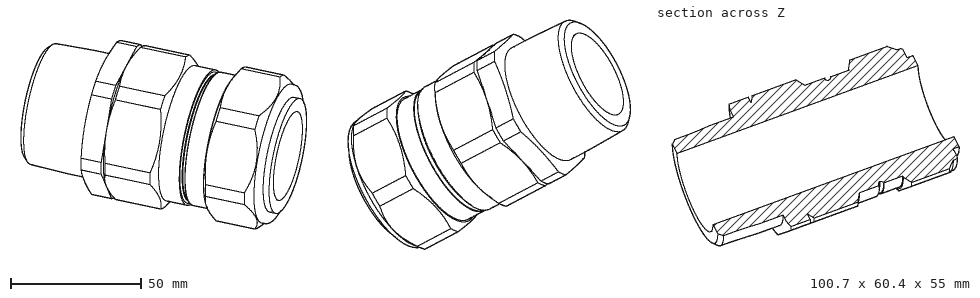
import cadquery as cq

LENGTH = 100.7
BORE_RADIUS = 17.4

ACROSS_FLATS = 55.0
FLAT_RADIUS = ACROSS_FLATS / 2
CORNER_RADIUS = 30.2

SPIGOT_TIP_RADIUS = 22.2
SPIGOT_TAPER_RADIUS = 23.8
SPIGOT_RADIUS = 24.3
SPIGOT_CHAMFER_LENGTH = 1.7
TAPER_END = 17.0

FLANGE_START = 26.4
FLANGE_CHAMFER_LENGTH = 0.7
BODY_START = 35.2
BODY_CHAMFER_LENGTH = 1.5
BODY_FULL_END = 55.1
BODY_END = 57.3

FRONT_COLLAR_RADIUS = 26.6
REAR_COLLAR_RADIUS = 26.2
GROOVE_RADIUS = 25.0
GROOVE_EDGE_RADIUS = 25.8
GROOVE_START = 65.7
GROOVE_BOTTOM_START = 66.3
GROOVE_BOTTOM_END = 66.6
GROOVE_END = 67.8

NUT_START = 75.5
NUT_START_RADIUS = 26.8
NUT_FULL_START = 77.5
NUT_FULL_END = 93.2
NUT_END = 98.3
NUT_RIM_RADIUS = 27.3
NUT_EDGE_FILLET = 1.0

TAIL_RADIUS = 22.6


def turned(points):
    """Solid of revolution about X below an (x, radius) outline."""
    start_x = points[0][0]
    end_x = points[-1][0]
    outline = [(start_x, 0), *points, (end_x, 0)]
    return cq.Workplane("XZ").polyline(outline).close().revolve(360, (0, 0, 0), (1, 0, 0))


def chamfered_hexagon(points):
    """Hexagonal bar, flats facing +Z and -Z, trimmed to a turned (x, radius) outline."""
    start_x = points[0][0]
    end_x = points[-1][0]
    bar = (
        cq.Workplane("YZ", origin=(start_x, 0, 0))
        .transformed(rotate=(0, 0, 90))
        .polygon(6, ACROSS_FLATS, circumscribed=True)
        .extrude(end_x - start_x)
    )
    return bar.intersect(turned(points))


def make_core():
    """Spigot, collars and tail ring as one turned piece running the full length."""
    return turned([
        (0, SPIGOT_TIP_RADIUS),
        (SPIGOT_CHAMFER_LENGTH, SPIGOT_TAPER_RADIUS),
        (TAPER_END, SPIGOT_RADIUS),
        (BODY_START, SPIGOT_RADIUS),
        (BODY_START, FRONT_COLLAR_RADIUS),
        (GROOVE_START, FRONT_COLLAR_RADIUS),
        (GROOVE_START, GROOVE_EDGE_RADIUS),
        (GROOVE_BOTTOM_START, GROOVE_RADIUS),
        (GROOVE_BOTTOM_END, GROOVE_RADIUS),
        (GROOVE_END, GROOVE_EDGE_RADIUS),
        (GROOVE_END, REAR_COLLAR_RADIUS),
        (NUT_FULL_START, REAR_COLLAR_RADIUS),
        (NUT_FULL_START, TAIL_RADIUS),
        (LENGTH, TAIL_RADIUS),
    ])


def make_flange():
    return chamfered_hexagon([
        (FLANGE_START, FLAT_RADIUS),
        (FLANGE_START + FLANGE_CHAMFER_LENGTH, CORNER_RADIUS),
        (BODY_START, CORNER_RADIUS),
    ])


def make_body():
    return chamfered_hexagon([
        (BODY_START, FLAT_RADIUS),
        (BODY_START + BODY_CHAMFER_LENGTH, CORNER_RADIUS),
        (BODY_FULL_END, CORNER_RADIUS),
        (BODY_END, FRONT_COLLAR_RADIUS),
    ])


def make_nut():
    """Hexagon with a 45 degree rear chamfer running down to a rounded rim."""
    rim_start = NUT_FULL_END + CORNER_RADIUS - NUT_RIM_RADIUS
    hexagon = chamfered_hexagon([
        (NUT_START, NUT_START_RADIUS),
        (NUT_FULL_START, CORNER_RADIUS),
        (NUT_FULL_END, CORNER_RADIUS),
        (rim_start, NUT_RIM_RADIUS),
    ])
    rim = cq.Workplane("YZ", origin=(NUT_FULL_START, 0, 0)).circle(NUT_RIM_RADIUS)
    rim = rim.extrude(NUT_END - NUT_FULL_START).faces(">X").edges().fillet(NUT_EDGE_FILLET)
    return hexagon.union(rim)


bore = cq.Workplane("YZ").circle(BORE_RADIUS).extrude(LENGTH)
result = make_core().union(make_flange()).union(make_body()).union(make_nut()).cut(bore)